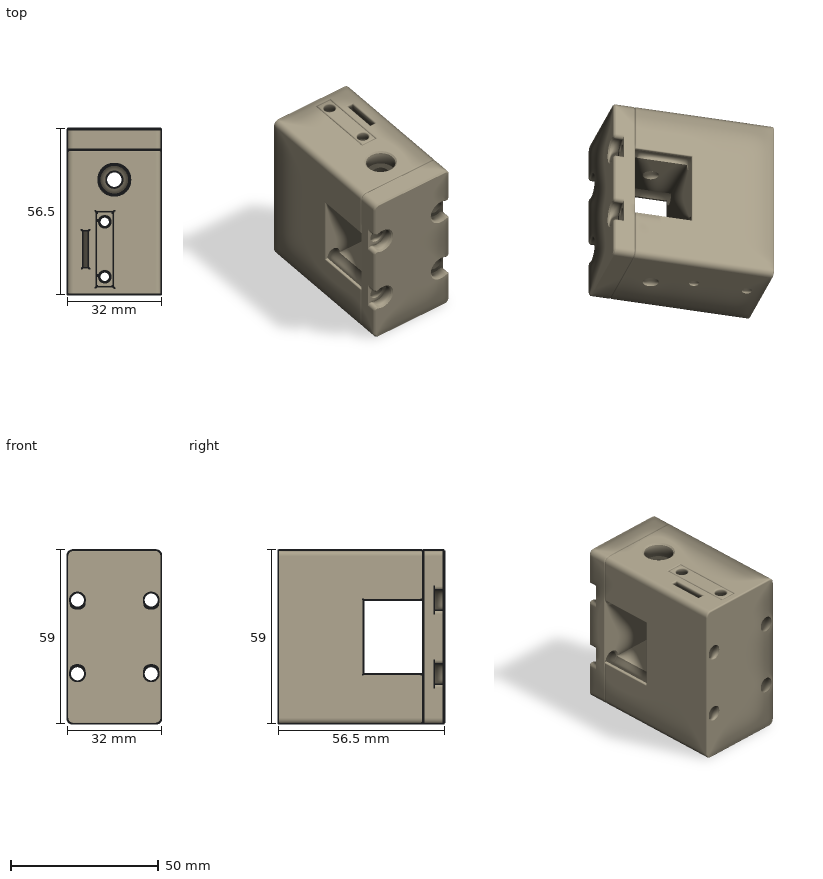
import cadquery as cq
import math

WIDTH = 32.0
TOTAL_DEPTH = 56.5
HEIGHT = 59.0
COVER_DEPTH = 7.5
HOUSING_DEPTH = TOTAL_DEPTH - COVER_DEPTH
CORNER_RADIUS = 2.0
EDGE_SIZE = 0.5
JOINT_CHAMFER = 0.35
TOP_Z = HEIGHT / 2

WINDOW_DEPTH = 20.0
WINDOW_HEIGHT = 25.0
WINDOW_EDGE_RADIUS = 0.35
FLANGE_THICKNESS = 1.75

SCREW_DIAMETER = 5.0
SCREW_X = 12.5
SCREW_Z = WINDOW_HEIGHT / 2
SCREW_SLOT_HEIGHT = 5.5
HEAD_DIAMETER = 8.0
HEAD_DEPTH = 3.5
HEAD_MOUTH_RADIUS = 1.2

BORE_DIAMETER = 10.0
BORE_DEPTH = 5.0
BORE_THROUGH_DIAMETER = 5.5
BORE_Y = -WINDOW_DEPTH / 2

INSERT_X = -3.25
INSERT_Y = -33.65
INSERT_WIDTH = 5.8
INSERT_LENGTH = 25.5
INSERT_THICKNESS = 3.0
INSERT_HOLE_DIAMETER = 4.0
INSERT_HOLE_SPACING = 18.65
HOUSING_HOLE_DIAMETER = 3.4
INSERT_HOLE_POINTS = [(INSERT_X, INSERT_Y + side * INSERT_HOLE_SPACING / 2) for side in (-1, 1)]

SLOT_X = -9.8
SLOT_WIDTH = 2.0
SLOT_LENGTH = 12.5
SLOT_DEPTH = 5.0
SLOT_FLOOR_RADIUS = 4.0


def rounded_block(depth):
    """Block from Y = 0 to Y = depth with its four long edges rounded."""
    block = cq.Workplane("XY").box(WIDTH, depth, HEIGHT).translate((0, depth / 2, 0))
    return block.edges("|Y").fillet(CORNER_RADIUS)


def top_plate(x, y, x_size, y_size, thickness):
    """Rectangular plate of this thickness whose upper side is flush with the top face."""
    return cq.Workplane("XY").box(x_size, y_size, thickness).translate((x, y, TOP_Z - thickness / 2))


def round_top_rim(body, x, y, x_size, y_size):
    """Round the rim of a rectangular pocket where it breaks through the top face."""
    rim = cq.selectors.BoxSelector(
        (x - x_size / 2 - EDGE_SIZE, y - y_size / 2 - EDGE_SIZE, TOP_Z - EDGE_SIZE),
        (x + x_size / 2 + EDGE_SIZE, y + y_size / 2 + EDGE_SIZE, TOP_Z + EDGE_SIZE),
    )
    return body.edges(rim).fillet(EDGE_SIZE)


def window_cutter():
    """Plug through the width that flares out to the side faces, rounding the window's edges there."""
    plug = cq.Workplane("XY").box(WIDTH, 2 * WINDOW_DEPTH, WINDOW_HEIGHT)
    for side in (-1, 1):
        flange = cq.Workplane("XY").box(FLANGE_THICKNESS, TOTAL_DEPTH, HEIGHT)
        plug = plug.union(flange.translate((side * (WIDTH + FLANGE_THICKNESS) / 2, 0, 0)))
        junction = cq.selectors.BoxSelector(
            (side * WIDTH / 2 - EDGE_SIZE, -WINDOW_DEPTH - EDGE_SIZE, -WINDOW_HEIGHT / 2 - EDGE_SIZE),
            (side * WIDTH / 2 + EDGE_SIZE, WINDOW_DEPTH + EDGE_SIZE, WINDOW_HEIGHT / 2 + EDGE_SIZE),
        )
        plug = plug.edges(junction).fillet(WINDOW_EDGE_RADIUS)
    return plug


def countersink(diameter):
    """Cone along +Z from the origin that chamfers the rim of a hole of this diameter."""
    radius = diameter / 2
    return cq.Solid.makeCone(radius + EDGE_SIZE, radius, EDGE_SIZE)


def screw_slots():
    """Four screw holes along the housing, stretched a little toward mid-height."""
    slots = cq.Workplane("XY")
    stretch = SCREW_SLOT_HEIGHT - SCREW_DIAMETER
    for z_side in (-1, 1):
        centre_z = z_side * (SCREW_Z - stretch / 2)
        pair = (
            cq.Workplane("XZ")
            .pushPoints([(-SCREW_X, centre_z), (SCREW_X, centre_z)])
            .slot2D(SCREW_SLOT_HEIGHT, SCREW_DIAMETER, angle=90)
            .extrude(HOUSING_DEPTH)
        )
        slots = slots.add(pair.vals())
    return slots.combine()


def bore_cutter():
    """Stepped hole through the full height with a chamfered mouth."""
    through = cq.Workplane("XY").circle(BORE_THROUGH_DIAMETER / 2).extrude(HEIGHT)
    through = through.translate((0, BORE_Y, -HEIGHT / 2))
    bore = cq.Workplane("XY", origin=(0, BORE_Y, TOP_Z)).circle(BORE_DIAMETER / 2).extrude(-BORE_DEPTH)
    mouth = countersink(BORE_DIAMETER).mirror("XY").translate(cq.Vector(0, BORE_Y, TOP_Z))
    return through.union(bore).union(cq.Workplane(mouth))


def slot_cutter():
    """Narrow slot whose floor is a convex cylinder with its crest at the +X wall."""
    crest_x = SLOT_X + SLOT_WIDTH / 2
    crest_axis_z = TOP_Z - SLOT_DEPTH - SLOT_FLOOR_RADIUS
    floor = (
        cq.Workplane("XZ", origin=(crest_x, INSERT_Y + SLOT_LENGTH / 2, crest_axis_z))
        .circle(SLOT_FLOOR_RADIUS)
        .extrude(SLOT_LENGTH)
    )
    pocket = top_plate(SLOT_X, INSERT_Y, SLOT_WIDTH, SLOT_LENGTH, SLOT_DEPTH + SLOT_FLOOR_RADIUS)
    return pocket.cut(floor)


def make_housing():
    housing = rounded_block(HOUSING_DEPTH).translate((0, -HOUSING_DEPTH, 0))
    housing = housing.faces("<Y or >Y").edges().fillet(EDGE_SIZE)
    housing = housing.cut(window_cutter())

    housing = housing.cut(top_plate(INSERT_X, INSERT_Y, INSERT_WIDTH, INSERT_LENGTH, INSERT_THICKNESS))
    housing = round_top_rim(housing, INSERT_X, INSERT_Y, INSERT_WIDTH, INSERT_LENGTH)
    housing = housing.cut(slot_cutter())
    housing = round_top_rim(housing, SLOT_X, INSERT_Y, SLOT_WIDTH, SLOT_LENGTH)

    insert_screw_holes = (
        cq.Workplane("XY", origin=(0, 0, -HEIGHT / 2))
        .pushPoints(INSERT_HOLE_POINTS)
        .circle(HOUSING_HOLE_DIAMETER / 2)
        .extrude(HEIGHT)
    )
    return housing.cut(insert_screw_holes).cut(screw_slots()).cut(bore_cutter())


def round_recess_mouths(cover):
    """Round the corners where the head recesses open into the side faces."""
    for x_side in (-1, 1):
        mouth_corners = cq.selectors.BoxSelector(
            (x_side * SCREW_X, COVER_DEPTH - HEAD_DEPTH, -HEIGHT / 2 + CORNER_RADIUS),
            (x_side * WIDTH, COVER_DEPTH, HEIGHT / 2 - CORNER_RADIUS),
        )
        cover = cover.edges("|Y").edges(mouth_corners).fillet(HEAD_MOUTH_RADIUS)
    return cover


def make_cover():
    cover = rounded_block(COVER_DEPTH).faces("<Y").chamfer(JOINT_CHAMFER)
    for x_side in (-1, 1):
        for z_side in (-1, 1):
            origin = (x_side * SCREW_X, COVER_DEPTH, z_side * SCREW_Z)
            recess = cq.Workplane("XZ", origin=origin).circle(HEAD_DIAMETER / 2).extrude(HEAD_DEPTH)
            cover = cover.cut(recess)
    cover = round_recess_mouths(cover)
    cover = cover.faces(">Y").edges().chamfer(EDGE_SIZE)

    for x_side in (-1, 1):
        for z_side in (-1, 1):
            x = x_side * SCREW_X
            z = z_side * SCREW_Z
            hole = cq.Workplane("XZ", origin=(x, 0, z)).circle(SCREW_DIAMETER / 2).extrude(-COVER_DEPTH)
            entry = countersink(SCREW_DIAMETER).rotate(cq.Vector(), cq.Vector(1, 0, 0), -90)
            cover = cover.cut(hole).cut(cq.Workplane(entry.translate(cq.Vector(x, 0, z))))
    return cover


def insert_hole_cutter():
    """Hole through the insert plate, along Z with its mouth at Z = 0, flaring out over a round edge."""
    radius = INSERT_HOLE_DIAMETER / 2
    turn = EDGE_SIZE * (1 - math.sqrt(0.5))
    return (
        cq.Workplane("XZ")
        .lineTo(radius + EDGE_SIZE, 0)
        .threePointArc((radius + turn, -turn), (radius, -EDGE_SIZE))
        .lineTo(radius, -INSERT_THICKNESS)
        .lineTo(0, -INSERT_THICKNESS)
        .close()
        .revolve()
    )


def make_insert():
    plate = top_plate(INSERT_X, INSERT_Y, INSERT_WIDTH, INSERT_LENGTH, INSERT_THICKNESS)
    plate = plate.faces(">Z").edges().fillet(EDGE_SIZE)
    for x, y in INSERT_HOLE_POINTS:
        plate = plate.cut(insert_hole_cutter().translate((x, y, TOP_Z)))
    return plate


housing = make_housing()
cover = make_cover()
insert = make_insert()

result = cq.Compound.makeCompound([housing.val(), cover.val(), insert.val()])